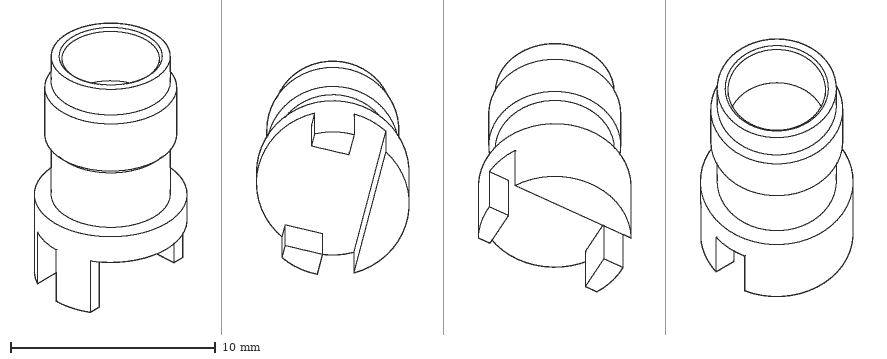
import cadquery as cq

total_height = 12.7
leg_height = 3.04
flange_top = 4.56
collar_bottom = 7.77
collar_top = 11.19
collar_chamfer = 0.32

flange_radius = 3.75
barrel_radius = 2.92
collar_radius = barrel_radius + collar_chamfer

socket_radius = 2.39
socket_depth = 3.05
socket_chamfer = 0.14

board_gap = 1.71
prong_width = 1.89
prong_left = -0.15
segment_face = prong_left - board_gap
prong_inner_y = 2.67


def cylinder(radius, bottom, top):
    return cq.Workplane("XY").workplane(offset=bottom).circle(radius).extrude(top - bottom)


def make_body():
    flange = cylinder(flange_radius, leg_height, flange_top)
    barrel = cylinder(barrel_radius, flange_top, total_height)
    collar = cylinder(collar_radius, collar_bottom, collar_top)
    collar = collar.faces("<Z or >Z").chamfer(collar_chamfer)
    return flange.union(barrel).union(collar)


def make_socket():
    floor = total_height - socket_depth
    bore = cylinder(socket_radius, floor, total_height)
    mouth = cq.Solid.makeCone(
        socket_radius,
        socket_radius + socket_chamfer,
        socket_chamfer,
        pnt=cq.Vector(0, 0, total_height - socket_chamfer),
    )
    return bore.union(cq.Workplane(mouth))


def block(left, right, front, back):
    """Rectangular block spanning the height of the legs."""
    return (
        cq.Workplane("XY")
        .box(right - left, back - front, leg_height, centered=False)
        .translate((left, front, 0))
    )


def make_legs():
    disc = cylinder(flange_radius, 0, leg_height)
    prong_right = prong_left + prong_width
    segment = block(-flange_radius, segment_face, -flange_radius, flange_radius)
    front_prong = block(prong_left, prong_right, -flange_radius, -prong_inner_y)
    back_prong = block(prong_left, prong_right, prong_inner_y, flange_radius)
    return disc.intersect(segment.union(front_prong).union(back_prong))


result = make_body().union(make_legs()).cut(make_socket())